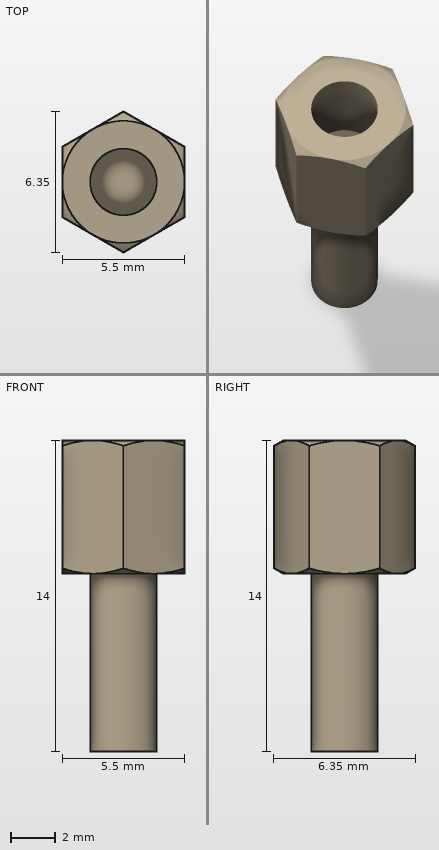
import cadquery as cq
import math

across_flats = 5.5
hex_height = 6.0
chamfer_angle = 30.0
thread_diameter = 3.0
hole_depth = 4.0
stud_length = 8.0
hex_sides = 6

flat_radius = across_flats / 2
corner_radius = flat_radius / math.cos(math.pi / hex_sides)
blank_margin = 0.5
chamfer_slope = math.tan(math.radians(chamfer_angle))


def chamfer_envelope():
    """Turned blank with a cone at each end; its flat ends touch the hex flats."""
    blank_radius = corner_radius + blank_margin
    chamfer_height = (blank_radius - flat_radius) * chamfer_slope
    return (
        cq.Workplane("XZ")
        .moveTo(0, 0)
        .lineTo(flat_radius, 0)
        .lineTo(blank_radius, chamfer_height)
        .lineTo(blank_radius, hex_height - chamfer_height)
        .lineTo(flat_radius, hex_height)
        .lineTo(0, hex_height)
        .close()
        .revolve(360, (0, 0, 0), (0, 1, 0))
    )


def make_hex_body():
    """Hex spacer with corners on the Y axis and a blind hole from the top."""
    prism = (
        cq.Workplane("XY")
        .polygon(hex_sides, 2 * corner_radius)
        .extrude(hex_height)
        .rotate((0, 0, 0), (0, 0, 1), 90)
    )
    hole = (
        cq.Workplane("XY", origin=(0, 0, hex_height))
        .circle(thread_diameter / 2)
        .extrude(-hole_depth)
    )
    return prism.intersect(chamfer_envelope()).cut(hole)


def make_stud():
    """Plain stud hanging from the seating face of the hex."""
    return cq.Workplane("XY").circle(thread_diameter / 2).extrude(-stud_length)


hex_body = make_hex_body()
stud = make_stud()

result = cq.Compound.makeCompound([hex_body.solids().val(), stud.val()])